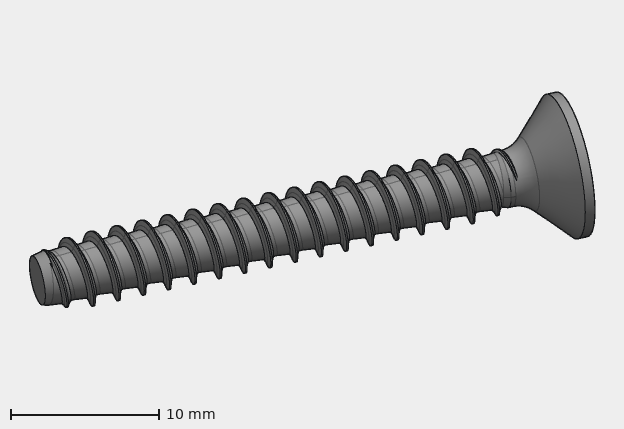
import cadquery as cq
import math


length = 38.0
head_radius = 5.0
rim_depth = 0.7
neck_radius = 1.95
neck_fillet = 2.1
neck_end_depth = 4.95
neck_taper = 0.8
neck_end_radius = 1.7

core_radius = 1.8
tip_radius = 1.7
tip_taper = 0.4

pitch = 1.8
crest_radius = 2.5
flank_bend_radius = 2.15
shoulder_radius = 1.88
crest_width = 0.12
flank_bend_width = 0.34
head_side_foot = 0.36
tip_side_foot = 0.3
shoulder_end = 1.17
top_crest_depth = 6.47
turns_before_top_crest = 2
fade_in_start_depth = 4.1
fade_in_end_depth = 6.45
fade_out_start_depth = 35.2
fade_out_end_depth = 37.6
points_per_turn = 24

first_turn_depth = top_crest_depth - turns_before_top_crest * pitch
turn_count = math.ceil((length + head_side_foot - first_turn_depth) / pitch)

countersink_slope = math.radians(45)
fillet_start_radius = neck_radius + neck_fillet * (1 - math.cos(countersink_slope))
fillet_start_depth = rim_depth + head_radius - fillet_start_radius
fillet_end_depth = fillet_start_depth + neck_fillet * math.sin(countersink_slope)
fillet_mid_radius = neck_radius + neck_fillet * (1 - math.cos(countersink_slope / 2))
fillet_mid_depth = fillet_end_depth - neck_fillet * math.sin(countersink_slope / 2)

trim_reach = 0.8
trim_overrun = 5.0


def make_head():
    """Turned head and neck, tapering down into the core."""
    outline = (
        cq.Workplane("XY")
        .lineTo(head_radius, 0)
        .lineTo(head_radius, -rim_depth)
        .lineTo(fillet_start_radius, -fillet_start_depth)
        .threePointArc((fillet_mid_radius, -fillet_mid_depth), (neck_radius, -fillet_end_depth))
        .lineTo(neck_radius, -neck_end_depth)
        .lineTo(neck_end_radius, -neck_end_depth - neck_taper)
        .lineTo(0, -neck_end_depth - neck_taper)
        .close()
    )
    return outline.revolve(360, (0, 0, 0), (0, 1, 0))


def thread_height(depth):
    """Share of the full thread height at a crest depth, from 0 to 1."""
    fade_in = (depth - fade_in_start_depth) / (fade_in_end_depth - fade_in_start_depth)
    fade_out = (fade_out_end_depth - depth) / (fade_out_end_depth - fade_out_start_depth)
    return max(0.0, min(1.0, fade_in, fade_out))


def helix_edge(turn, offset, full_radius):
    """One turn of a thread corner, starting on the +Z side; the crest fades to the shoulder."""
    points = []
    for step in range(points_per_turn + 1):
        angle = 2 * math.pi * step / points_per_turn
        crest_depth = first_turn_depth + pitch * (turn + step / points_per_turn)
        radius = full_radius
        if full_radius > shoulder_radius:
            radius = shoulder_radius + (full_radius - shoulder_radius) * thread_height(crest_depth)
        x = -radius * math.sin(angle)
        z = radius * math.cos(angle)
        points.append(cq.Vector(x, -crest_depth - offset, z))
    return cq.Edge.makeSpline(points)


def end_cap(root_edge, profile_points):
    """Faces closing one rod end: a helicoid from root to axis and a flat step on the +Z side."""
    axis_start = cq.Vector(0, root_edge.startPoint().y, 0)
    axis_end = cq.Vector(0, root_edge.endPoint().y, 0)
    helicoid = cq.Face.makeRuledSurface(root_edge, cq.Edge.makeLine(axis_start, axis_end))
    step_outline = cq.Wire.makePolygon([axis_start, *profile_points, axis_end], close=True)
    return [helicoid, cq.Face.makeFromWires(step_outline)]


def make_threaded_rod():
    """Core and thread as one solid, bounded by ruled strips between helical corners."""
    root_corner = (-head_side_foot, core_radius)
    corners = [
        root_corner,
        (-flank_bend_width / 2, flank_bend_radius),
        (-crest_width / 2, crest_radius),
        (crest_width / 2, crest_radius),
        (flank_bend_width / 2, flank_bend_radius),
        (tip_side_foot, shoulder_radius),
        (shoulder_end, core_radius),
    ]
    turns = []
    for turn in range(turn_count):
        turns.append([helix_edge(turn, *corner) for corner in corners])
    last_root = helix_edge(turn_count, *root_corner)
    next_roots = [edges[0] for edges in turns[1:]] + [last_root]

    faces = []
    for edges, next_root in zip(turns, next_roots):
        chain = edges + [next_root]
        for edge, neighbour in zip(chain, chain[1:]):
            faces.append(cq.Face.makeRuledSurface(edge, neighbour))
    faces += end_cap(turns[0][0], [e.startPoint() for e in turns[0] + [next_roots[0]]])
    faces += end_cap(last_root, [e.endPoint() for e in turns[-1] + [last_root]])
    return cq.Workplane(cq.Solid.makeSolid(cq.Shell.makeShell(faces)))


def make_tip_trim():
    """Turned cutter that ends the rod at the tip and tapers the tip edge."""
    taper_slope = (core_radius - tip_radius) / tip_taper
    outline = (
        cq.Workplane("XY")
        .moveTo(0, -length)
        .lineTo(tip_radius, -length)
        .lineTo(tip_radius + taper_slope * trim_reach, trim_reach - length)
        .lineTo(head_radius, trim_reach - length)
        .lineTo(head_radius, -length - trim_overrun)
        .lineTo(0, -length - trim_overrun)
        .close()
    )
    return outline.revolve(360, (0, 0, 0), (0, 1, 0))


result = make_threaded_rod().cut(make_tip_trim(), clean=False).union(make_head(), clean=False)